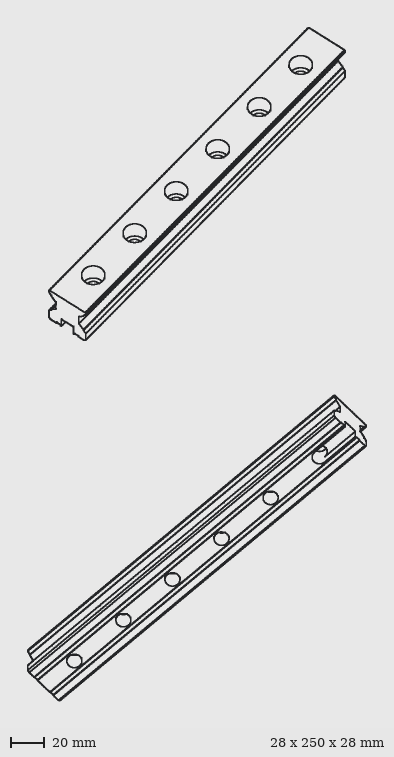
import cadquery as cq

length = 250.0
width = 28.0
height = 28.0

half_width = width / 2
half_neck = 8.8
half_shoulder = 12.2
foot_chamfer = 1.2
top_chamfer = 0.5
foot_side_top = 7.8
lower_step_bottom = 9.5
lower_step_top = 10.2
neck_bottom = 13.2
neck_top = 20.0
upper_step_bottom = 23.5
upper_step_top = 24.0
head_side_bottom = 26.0

relief_inner = 5.5
relief_outer = 8.2
relief_depth = 0.8

hole_count = 6
hole_pitch = 40.0
hole_diameter = 9.0
counterbore_diameter = 14.0
counterbore_depth = 12.0

slot_height = 6.8

first_hole_y = -hole_pitch * (hole_count - 1) / 2


def make_rail():
    """Extrude the symmetric rail section along Y, centred on the origin."""
    right_side = [
        (relief_inner, 0),
        (relief_inner, relief_depth),
        (relief_outer, relief_depth),
        (relief_outer, 0),
        (half_width - foot_chamfer, 0),
        (half_width, foot_chamfer),
        (half_width, foot_side_top),
        (half_shoulder, lower_step_bottom),
        (half_shoulder, lower_step_top),
        (half_neck, neck_bottom),
        (half_neck, neck_top),
        (half_shoulder, upper_step_bottom),
        (half_shoulder, upper_step_top),
        (half_width, head_side_bottom),
        (half_width, height - top_chamfer),
        (half_width - top_chamfer, height),
    ]
    left_side = [(-x, z) for x, z in reversed(right_side)]
    section = cq.Workplane("XZ").polyline(right_side + left_side).close()
    return section.extrude(length / 2, both=True)


def make_mounting_holes():
    """Row of counterbored through holes, sunk from the top face."""
    centres = [(0, first_hole_y + i * hole_pitch) for i in range(hole_count)]
    top = cq.Workplane("XY", origin=(0, 0, height)).pushPoints(centres)
    holes = top.circle(hole_diameter / 2).extrude(-height)
    counterbores = top.circle(counterbore_diameter / 2).extrude(-counterbore_depth)
    return holes.union(counterbores)


def make_end_slot():
    """Slot from the -Y end that runs out in the round wall of the first hole."""
    slot_length = first_hole_y + length / 2
    end = cq.Workplane("XY", origin=(0, -length / 2, 0))
    return end.box(hole_diameter, slot_length, slot_height, centered=(True, False, False))


result = make_rail().cut(make_mounting_holes()).cut(make_end_slot())